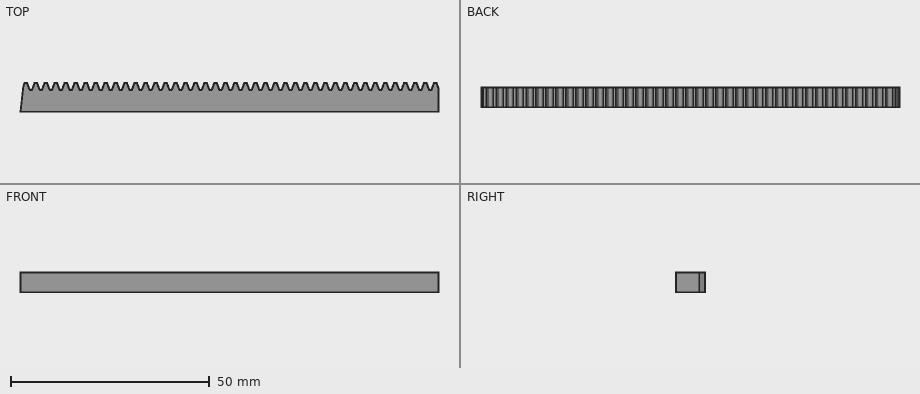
import cadquery as cq
import math

length = 105.28
height = 7.3
thickness = 5.0

module = 0.8
tooth_count = 42
flank_slope = math.tan(math.radians(20))
pitch = math.pi * module
pitch_line = height - module
root_line = pitch_line - 1.25 * module
root_fillet = 0.28 * module

first_tooth = 1.385
last_tooth = first_tooth + (tooth_count - 1) * pitch

start_face_top = 6.41

end_face_top = pitch_line - (length - last_tooth - pitch / 4) / flank_slope


def half_tooth(y):
    """Half the width of a tooth at height y."""
    return pitch / 4 + (pitch_line - y) * flank_slope


def make_blank():
    """Bar with a leaning start face, a square end face and no gaps between the teeth yet."""
    return (
        cq.Workplane("XY")
        .moveTo(0, 0)
        .lineTo(length, 0)
        .lineTo(length, end_face_top)
        .lineTo(last_tooth + half_tooth(height), height)
        .lineTo(first_tooth - half_tooth(height), height)
        .lineTo(first_tooth - half_tooth(start_face_top), start_face_top)
        .close()
        .extrude(thickness)
    )


def make_gap(left_tooth):
    """Cutter for the gap between the tooth at left_tooth and the next, with rounded root corners."""
    right_tooth = left_tooth + pitch
    gap = (
        cq.Workplane("XY")
        .moveTo(left_tooth + half_tooth(height), height)
        .lineTo(left_tooth + half_tooth(root_line), root_line)
        .lineTo(right_tooth - half_tooth(root_line), root_line)
        .lineTo(right_tooth - half_tooth(height), height)
        .close()
        .extrude(thickness)
    )
    return gap.edges("|Z and <Y").fillet(root_fillet)


gaps = [make_gap(first_tooth + i * pitch).val() for i in range(tooth_count - 1)]
rack = make_blank().val().cut(*gaps)
result = cq.Workplane("XY").newObject(rack.Solids())